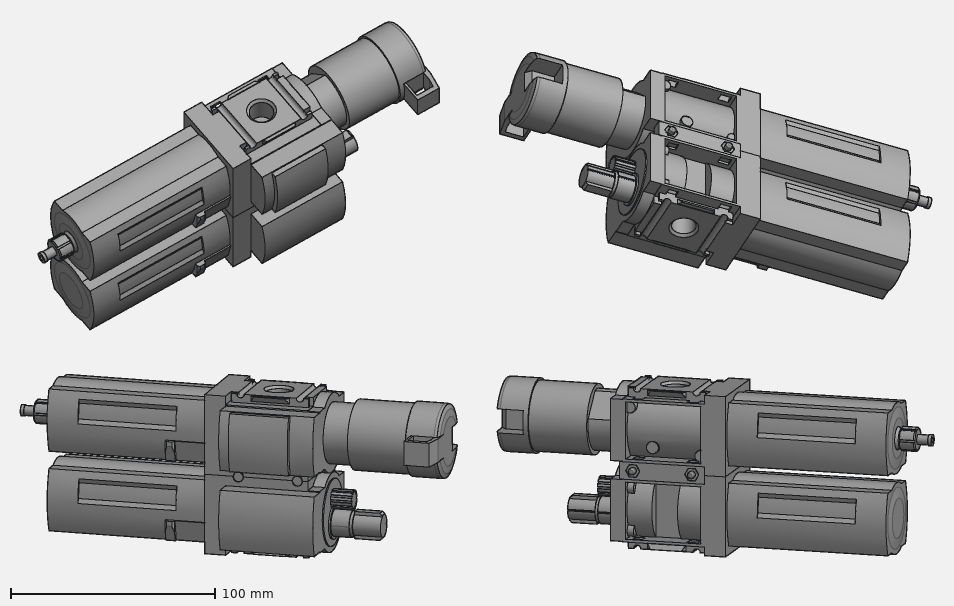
import cadquery as cq
import math


UNIT_HEIGHT = 40.2
HALF_HEIGHT = UNIT_HEIGHT / 2
HOUSING_WIDTH = 42.2
HOUSING_HALF_WIDTH = HOUSING_WIDTH / 2
HOUSING_DEPTH = 58.8
FRONT_BLOCK_DEPTH = 10.7
LEDGE_DROP = 4.4
LEDGE_HEIGHT = HALF_HEIGHT - LEDGE_DROP
FLANGE_START = 52.7
FLANGE_LEDGE_STEP = 0.2
FLANGE_RADIUS = 19.9
CORE_RADIUS = 18.8

PLATE_HALF_WIDTH = 15.0
PLATE_CENTRE_Y = 31.7
PLATE_HALF_DEPTH = 13.3
GROOVE_WIDTH = 3.7
GROOVE_REACH = PLATE_HALF_DEPTH + GROOVE_WIDTH
TAB_HALF_WIDTH = 11.5
POST_WIDTH = 1.3
POST_DEPTH = 2.6
WING_REACH = 2.0
WING_HALF_LENGTH = 9.8
WING_HEIGHT = 2.8
WING_DROP = 0.5
PORT_DIAMETER = 12.0
PORT_DEPTH = 13.1
PORT_CHAMFER = 1.3

WINDOW_START = 12.7
WINDOW_END = 51.0
WINDOW_HEIGHT = 28.6
WINDOW_HALF_HEIGHT = WINDOW_HEIGHT / 2
WINDOW_BOTTOM_X = -11.4
LATCH_HOLE_OUTER_X = -19.0
LATCH_HOLE_SPANS = ((14.5, 20.0), (42.8, 47.9))

COVER_HALF_HEIGHT = 15.0
COVER_EDGE_X = 30.5
COVER_CROWN_X = 33.2

BOWL_LENGTH = 81.3
BOWL_FLAT_HEIGHT = 15.7
BOWL_CORNER_X = 15.3
BOWL_SIDE_X = 18.5
BOWL_SIDE_RADIUS = (BOWL_FLAT_HEIGHT**2 + (BOWL_SIDE_X - BOWL_CORNER_X) ** 2) / (
    2 * (BOWL_SIDE_X - BOWL_CORNER_X)
)
BOWL_BULGE_DIAMETER = 35.6
BOWL_CONE_DIAMETER = 30.8
BOWL_TIP_DIAMETER = 19.9
BOWL_TIP_HEIGHT = 0.7
SIGHT_START = 15.5
SIGHT_LENGTH = 50.0
SIGHT_HEIGHT = 12.0
SIGHT_BEVEL = 2.2
SIGHT_DEPTH = 1.3
RELEASE_TOP = -5.0
RELEASE_BOTTOM = -15.3
RELEASE_ROOT_X = 16.5
RELEASE_FOOT_X = 15.0
RELEASE_SLIDE_TOP_X = 19.2
RELEASE_SLIDE_BOTTOM_X = 16.8
RELEASE_BUTTON_X = 21.0
RELEASE_BUTTON_BEND = -7.5
RELEASE_BUTTON_BOTTOM_X = 18.5
RELEASE_BEVEL = 1.0
RELEASE_SLIDE_LENGTH = 15.7
RELEASE_BUTTON_LENGTH = 4.8


def box(x, y, z):
    """Block spanning the given (low, high) pair along each axis."""
    size = (x[1] - x[0], y[1] - y[0], z[1] - z[0])
    return cq.Workplane("XY").box(*size, centered=False).translate((x[0], y[0], z[0]))


def y_prism(outline, start, end):
    """Closed polygon of (x, z) points extruded from y = start to y = end."""
    return cq.Workplane("XZ", origin=(0, start, 0)).polyline(outline).close().extrude(start - end)


def y_cylinder(diameter, start, end, x=0, z=0):
    return cq.Workplane("XZ", origin=(x, start, z)).circle(diameter / 2).extrude(start - end)


def x_cylinder(diameter, start, end, y=0, z=0):
    return cq.Workplane("YZ", origin=(start, y, z)).circle(diameter / 2).extrude(end - start)


def y_turned(profile):
    """Solid of revolution about the Y axis from (radius, y) points."""
    return cq.Workplane("XY").polyline(profile).close().revolve(360, (0, 0, 0), (0, 1, 0))


def port_plate():
    """Raised plate with two round grooves, end tabs, corner posts and undercut side wings."""
    plate = box(
        (-PLATE_HALF_WIDTH, PLATE_HALF_WIDTH), (FRONT_BLOCK_DEPTH, FLANGE_START), (LEDGE_HEIGHT, HALF_HEIGHT)
    )
    for end in (-1, 1):
        groove_y = PLATE_CENTRE_Y + end * (PLATE_HALF_DEPTH + GROOVE_WIDTH / 2)
        groove = x_cylinder(GROOVE_WIDTH, -PLATE_HALF_WIDTH, PLATE_HALF_WIDTH, groove_y, HALF_HEIGHT)
        plate = plate.cut(groove)
    for side in (-1, 1):
        plate = plate.cut(corner_notch(side, PLATE_CENTRE_Y - GROOVE_REACH, FRONT_BLOCK_DEPTH))
        plate = plate.cut(corner_notch(side, PLATE_CENTRE_Y + GROOVE_REACH, FLANGE_START))
        plate = plate.union(wing(side))
    return plate


def corner_notch(side, groove_edge, plate_end):
    """Notch beside an end tab, going around a small post next to the groove."""
    inner = side * TAB_HALF_WIDTH
    outer = side * PLATE_HALF_WIDTH
    post_inner = outer - side * POST_WIDTH
    post_end = groove_edge + math.copysign(POST_DEPTH, plate_end - groove_edge)
    outline = [
        (inner, groove_edge),
        (post_inner, groove_edge),
        (post_inner, post_end),
        (outer, post_end),
        (outer, plate_end),
        (inner, plate_end),
    ]
    return cq.Workplane("XY", origin=(0, 0, LEDGE_HEIGHT)).polyline(outline).close().extrude(LEDGE_DROP)


def wing(side):
    """Undercut wedge on one side of the plate, with its ends cut at 45 degrees."""
    root = side * PLATE_HALF_WIDTH
    tip = side * (PLATE_HALF_WIDTH + WING_REACH)
    start = PLATE_CENTRE_Y - WING_HALF_LENGTH
    end = PLATE_CENTRE_Y + WING_HALF_LENGTH
    top = HALF_HEIGHT - WING_DROP
    wedge_outline = [(root, top), (tip, top), (root, top - WING_HEIGHT)]
    wedge = y_prism(wedge_outline, start, end)
    top_outline = [(root, start), (tip, start + WING_REACH), (tip, end - WING_REACH), (root, end)]
    ends = cq.Workplane("XY").polyline(top_outline).close().extrude(HALF_HEIGHT)
    return wedge.intersect(ends)


def port():
    """Chamfered blind port opening on the outer side."""
    hole = cq.Workplane("XY", origin=(0, PLATE_CENTRE_Y, HALF_HEIGHT - PORT_DEPTH))
    hole = hole.circle(PORT_DIAMETER / 2).extrude(PORT_DEPTH)
    flare = cq.Workplane("XY", origin=(0, PLATE_CENTRE_Y, HALF_HEIGHT))
    flare = flare.circle(PORT_DIAMETER / 2 + PORT_CHAMFER).extrude(-PORT_CHAMFER, taper=45)
    return hole.union(flare)


def side_window():
    """Pocket on the -X side that leaves the cylindrical core standing."""
    span = (WINDOW_START, WINDOW_END)
    height = (-WINDOW_HALF_HEIGHT, WINDOW_HALF_HEIGHT)
    pocket = box((-HOUSING_HALF_WIDTH, WINDOW_BOTTOM_X), span, height)
    return pocket.cut(y_cylinder(2 * CORE_RADIUS, *span))


def crowned_cover(back_x, edge_x, crown_x, half_height, start, end):
    """Cover on the +X side whose outer face is an arc."""
    outline = cq.Workplane("XZ", origin=(0, start, 0)).moveTo(back_x, -half_height)
    outline = outline.lineTo(edge_x, -half_height)
    outline = outline.threePointArc((crown_x, 0), (edge_x, half_height))
    return outline.lineTo(back_x, half_height).close().extrude(start - end)


def housing():
    """Housing with its outer side at +Z and its joining side at -Z."""
    width = (-HOUSING_HALF_WIDTH, HOUSING_HALF_WIDTH)
    body = box(width, (0, FRONT_BLOCK_DEPTH), (-HALF_HEIGHT, HALF_HEIGHT))
    body = body.union(box(width, (FRONT_BLOCK_DEPTH, FLANGE_START), (-LEDGE_HEIGHT, LEDGE_HEIGHT)))
    flange_height = LEDGE_HEIGHT - FLANGE_LEDGE_STEP
    body = body.union(box(width, (FLANGE_START, HOUSING_DEPTH), (-flange_height, flange_height)))
    body = body.union(y_cylinder(2 * FLANGE_RADIUS, FLANGE_START, HOUSING_DEPTH))
    joining_width = (-PLATE_HALF_WIDTH, HOUSING_HALF_WIDTH)
    joining_height = (-HALF_HEIGHT, -LEDGE_HEIGHT)
    body = body.union(box(joining_width, (FRONT_BLOCK_DEPTH, FLANGE_START), joining_height))
    body = body.union(port_plate())
    body = body.cut(port())
    body = body.cut(side_window())

    for span in LATCH_HOLE_SPANS:
        for wall in ((WINDOW_HALF_HEIGHT, LEDGE_HEIGHT), (-LEDGE_HEIGHT, -WINDOW_HALF_HEIGHT)):
            body = body.cut(box((LATCH_HOLE_OUTER_X, -PLATE_HALF_WIDTH), span, wall))

    cover = crowned_cover(
        HOUSING_HALF_WIDTH, COVER_EDGE_X, COVER_CROWN_X, COVER_HALF_HEIGHT, FRONT_BLOCK_DEPTH, HOUSING_DEPTH
    )
    return body.union(cover)


def bowl_body():
    """Flat-sided bowl with crowned sides and a round bulge above and below."""
    outline = cq.Workplane("XZ").moveTo(-BOWL_CORNER_X, -BOWL_FLAT_HEIGHT)
    outline = outline.threePointArc((-BOWL_SIDE_X, 0), (-BOWL_CORNER_X, BOWL_FLAT_HEIGHT))
    outline = outline.lineTo(BOWL_CORNER_X, BOWL_FLAT_HEIGHT)
    outline = outline.threePointArc((BOWL_SIDE_X, 0), (BOWL_CORNER_X, -BOWL_FLAT_HEIGHT))
    body = outline.close().extrude(BOWL_LENGTH)
    body = body.union(y_cylinder(BOWL_BULGE_DIAMETER, -BOWL_LENGTH, 0))
    cone = y_turned([
        (0, -BOWL_LENGTH),
        (BOWL_CONE_DIAMETER / 2, -BOWL_LENGTH),
        (BOWL_TIP_DIAMETER / 2, -BOWL_LENGTH - BOWL_TIP_HEIGHT),
        (0, -BOWL_LENGTH - BOWL_TIP_HEIGHT),
    ])
    return body.union(cone)


def bowl_side_x(z, depth=0):
    """X of the crowned bowl side at height z, or of a surface the given depth below it."""
    centre_x = BOWL_SIDE_X - BOWL_SIDE_RADIUS
    return centre_x + math.sqrt((BOWL_SIDE_RADIUS - depth) ** 2 - z**2)


def sight_window(side):
    """Shallow recess on one bowl side: curved floor, sloped upper and lower walls."""
    floor_low = SIGHT_BEVEL
    floor_middle = SIGHT_HEIGHT / 2
    floor_high = SIGHT_HEIGHT - SIGHT_BEVEL
    outline = cq.Workplane("XZ", origin=(0, -SIGHT_START, 0)).moveTo(side * BOWL_SIDE_X, 0)
    outline = outline.lineTo(side * bowl_side_x(floor_low, SIGHT_DEPTH), floor_low)
    outline = outline.threePointArc(
        (side * bowl_side_x(floor_middle, SIGHT_DEPTH), floor_middle),
        (side * bowl_side_x(floor_high, SIGHT_DEPTH), floor_high),
    )
    outline = outline.lineTo(side * bowl_side_x(SIGHT_HEIGHT), SIGHT_HEIGHT)
    return outline.lineTo(side * BOWL_SIDE_X, SIGHT_HEIGHT).close().extrude(SIGHT_LENGTH)


def release_latch():
    """Slide on the lower +X side of the bowl, ending in a raised button with bevelled ends."""
    slide = y_prism(
        [
            (RELEASE_ROOT_X, RELEASE_TOP),
            (RELEASE_SLIDE_TOP_X, RELEASE_TOP),
            (RELEASE_SLIDE_BOTTOM_X, RELEASE_BOTTOM),
            (RELEASE_FOOT_X, RELEASE_BOTTOM),
        ],
        -RELEASE_SLIDE_LENGTH,
        0,
    )
    button_start = -RELEASE_SLIDE_LENGTH - RELEASE_BUTTON_LENGTH
    button = y_prism(
        [
            (RELEASE_ROOT_X, RELEASE_TOP),
            (RELEASE_BUTTON_X, RELEASE_TOP),
            (RELEASE_BUTTON_X, RELEASE_BUTTON_BEND),
            (RELEASE_BUTTON_BOTTOM_X, RELEASE_BOTTOM),
            (RELEASE_FOOT_X, RELEASE_BOTTOM),
        ],
        button_start,
        -RELEASE_SLIDE_LENGTH,
    )
    bevelled_ends = cq.Workplane("XY", origin=(0, 0, RELEASE_BOTTOM)).polyline([
        (RELEASE_FOOT_X, button_start),
        (RELEASE_BUTTON_X - RELEASE_BEVEL, button_start),
        (RELEASE_BUTTON_X, button_start + RELEASE_BEVEL),
        (RELEASE_BUTTON_X, -RELEASE_SLIDE_LENGTH - RELEASE_BEVEL),
        (RELEASE_BUTTON_X - RELEASE_BEVEL, -RELEASE_SLIDE_LENGTH),
        (RELEASE_FOOT_X, -RELEASE_SLIDE_LENGTH),
    ]).close().extrude(RELEASE_TOP - RELEASE_BOTTOM)
    return slide.union(button.intersect(bevelled_ends))


def bowl():
    body = bowl_body()
    for side in (-1, 1):
        body = body.cut(sight_window(side))
    return body.union(release_latch())


DRAIN_COLLAR_DIAMETER = 11.5
DRAIN_COLLAR_END = -83.5
DRAIN_NECK_DIAMETER = 9.6
DRAIN_NUT_DIAMETER = 12.0
DRAIN_NUT_START = -84.3
DRAIN_NUT_END = -92.2
DRAIN_NUT_CHAMFER = 0.7
DRAIN_SLOT_COUNT = 6
DRAIN_SLOT_WIDTH = 1.0
DRAIN_SLOT_DEPTH = 0.7
DRAIN_STEM_DIAMETER = 5.0
DRAIN_RIM_DIAMETER = 5.7
DRAIN_RIM_START = -97.9
DRAIN_END = -99.6
DRAIN_HOLE_DIAMETER = 2.6
DRAIN_HOLE_DEPTH = 7.5


def drain_valve():
    """Conical collar, slotted nut and drilled stem below the bowl."""
    nut = y_cylinder(DRAIN_NUT_DIAMETER, DRAIN_NUT_END, DRAIN_NUT_START)
    nut = nut.faces("<Y").chamfer(DRAIN_NUT_CHAMFER)
    slot_floor = DRAIN_NUT_DIAMETER / 2 - DRAIN_SLOT_DEPTH
    slot = box(
        (slot_floor, DRAIN_NUT_DIAMETER),
        (DRAIN_NUT_END, DRAIN_NUT_START),
        (-DRAIN_SLOT_WIDTH / 2, DRAIN_SLOT_WIDTH / 2),
    )
    for index in range(DRAIN_SLOT_COUNT):
        nut = nut.cut(slot.rotate((0, 0, 0), (0, 1, 0), index * 360 / DRAIN_SLOT_COUNT))

    valve = y_turned([
        (0, -BOWL_LENGTH),
        (DRAIN_COLLAR_DIAMETER / 2, -BOWL_LENGTH),
        (DRAIN_COLLAR_DIAMETER / 2, -BOWL_LENGTH - BOWL_TIP_HEIGHT),
        (DRAIN_NECK_DIAMETER / 2, DRAIN_COLLAR_END),
        (0, DRAIN_COLLAR_END),
    ])
    valve = valve.union(y_cylinder(DRAIN_NECK_DIAMETER, DRAIN_NUT_START, DRAIN_COLLAR_END))
    valve = valve.union(nut)
    valve = valve.union(y_cylinder(DRAIN_STEM_DIAMETER, DRAIN_END, DRAIN_NUT_END))
    valve = valve.union(y_cylinder(DRAIN_RIM_DIAMETER, DRAIN_END, DRAIN_RIM_START))
    return valve.cut(y_cylinder(DRAIN_HOLE_DIAMETER, DRAIN_END, DRAIN_END + DRAIN_HOLE_DEPTH))


NECK_DIAMETER = 30.5
NECK_FLAT_DISTANCE = 13.0
NECK_FLAT_ANGLE = 45
BARREL_START = 71.9
BARREL_DIAMETER = 35.2
CAP_START = 101.5
CAP_DIAMETER = 37.1
CAP_SHOULDER = 116.0
CAP_EDGE_Y = 117.5
CAP_EDGE_RADIUS = 18.4
CAP_DOME_Y = 118.5
CAP_DOME_RADIUS = 16.0
CAP_TOP_RADIUS = 12.2
KNOB_END = 118.9
LOCK_HEIGHT = 12.0
LOCK_BOTTOM = 104.2
LOCK_INNER_X = -7.6
LOCK_OUTER_X = 29.7
LOCK_SHOULDER_X = 19.7
LOCK_CORNER_Y = 117.1
LOCK_WALL = 2.6
LOCK_FLOOR = 1.3
LOCK_ROOF_Y = 116.0
LOCK_ROOF_DROP = 0.9
LOCK_ROOF_BEND_X = 23.0


def knob():
    """Neck with one flat, barrel and domed cap on the regulator axis."""
    neck = y_cylinder(NECK_DIAMETER, HOUSING_DEPTH, BARREL_START)
    flat = box(
        (-NECK_DIAMETER, -NECK_FLAT_DISTANCE), (HOUSING_DEPTH, BARREL_START), (-NECK_DIAMETER, NECK_DIAMETER)
    )
    neck = neck.cut(flat.rotate((0, 0, 0), (0, 1, 0), NECK_FLAT_ANGLE))
    barrel = y_cylinder(BARREL_DIAMETER, BARREL_START, CAP_START)
    cap = y_turned([
        (0, CAP_START),
        (CAP_DIAMETER / 2, CAP_START),
        (CAP_DIAMETER / 2, CAP_SHOULDER),
        (CAP_EDGE_RADIUS, CAP_EDGE_Y),
        (CAP_DOME_RADIUS, CAP_DOME_Y),
        (CAP_TOP_RADIUS, KNOB_END),
        (0, KNOB_END),
    ])
    return neck.union(barrel).union(cap)


def lock_slot():
    """Slot across the cap, filled by the lock slide except on the -X side."""
    span = (LOCK_BOTTOM, KNOB_END)
    return box((-CAP_DIAMETER, CAP_DIAMETER), span, (-LOCK_HEIGHT / 2, LOCK_HEIGHT / 2))


def lock_slide():
    """Slide pulled out towards +X, with an opening for a padlock."""
    half_height = LOCK_HEIGHT / 2
    slope = KNOB_END - CAP_SHOULDER
    body = cq.Workplane("XY", origin=(0, 0, -half_height)).polyline([
        (LOCK_INNER_X, LOCK_BOTTOM),
        (LOCK_OUTER_X, LOCK_BOTTOM),
        (LOCK_OUTER_X, LOCK_CORNER_Y),
        (LOCK_SHOULDER_X, KNOB_END),
        (LOCK_INNER_X + slope, KNOB_END),
        (LOCK_INNER_X, CAP_SHOULDER),
    ]).close().extrude(LOCK_HEIGHT)
    opening = cq.Workplane("XY", origin=(0, 0, -half_height)).polyline([
        (BARREL_DIAMETER / 2, LOCK_BOTTOM + LOCK_FLOOR),
        (LOCK_OUTER_X - LOCK_WALL, LOCK_BOTTOM + LOCK_FLOOR),
        (LOCK_OUTER_X - LOCK_WALL, LOCK_ROOF_Y - LOCK_ROOF_DROP),
        (LOCK_ROOF_BEND_X, LOCK_ROOF_Y),
        (BARREL_DIAMETER / 2, LOCK_ROOF_Y),
    ]).close().extrude(LOCK_HEIGHT)
    return body.cut(opening)


GAUGE_EDGE_X = 33.6
GAUGE_CROWN_X = 35.8
GAUGE_HALF_HEIGHT = 14.6
GAUGE_START = 16.4
GAUGE_END = 46.5
STUD_END_X = -18.5
STUD_ROOT_X = -11.0
CORE_STUDS = ((49.5, 11.1, 5.7), (13.5, -11.1, 5.7), (38.0, -8.3, 6.1))


def upper_unit():
    """Filter regulator with knob, gauge and drain valve."""
    body = housing()
    for y, z, diameter in CORE_STUDS:
        body = body.union(x_cylinder(diameter, STUD_END_X, STUD_ROOT_X, y, z))
    gauge = crowned_cover(
        HOUSING_HALF_WIDTH, GAUGE_EDGE_X, GAUGE_CROWN_X, GAUGE_HALF_HEIGHT, GAUGE_START, GAUGE_END
    )
    body = body.union(gauge)
    body = body.union(bowl()).union(drain_valve())
    body = body.union(knob().cut(lock_slot()).union(lock_slide()))
    return body.translate((0, 0, HALF_HEIGHT))


CORE_SLOT_START = 25.1
CORE_SLOT_END = 38.2
NUB_DIAMETER = 6.1
NUB_LENGTH = 3.3
NUB_X = -15.5
NUB_OFFSET = 10.7
BASE_DIAMETER = 33.6
BASE_END = 59.5
SOCKET_Z = -5.0
SOCKET_BASE_DIAMETER = 16.5
SOCKET_BASE_END = 60.3
SOCKET_DIAMETER = 13.8
SOCKET_END = 85.2
SOCKET_CORE_DIAMETER = 11.4
SOCKET_GRIP_START = 71.0
SOCKET_GAP_LENGTH = 1.5
SOCKET_GAP_DIAMETER = 13.0
SOCKET_RIB_WIDTH = 4.8
SOCKET_RIB_CHAMFER = 1.3
SOCKET_KEYWAY_WIDTH = 0.7
SOCKET_KEYWAY_DEPTH = 0.7
WHEEL_Z = 7.0
WHEEL_DIAMETER = 10.0
WHEEL_END = 70.1
WHEEL_FLUTES = 12
WHEEL_FLUTE_WIDTH = 1.0
WHEEL_FLUTE_DEPTH = 0.9


def socket():
    """Connector: round root, ribbed grip above a gap, and a keyway along the -X side."""
    radius = SOCKET_DIAMETER / 2
    core_radius = SOCKET_CORE_DIAMETER / 2
    root_end = SOCKET_GRIP_START - SOCKET_GAP_LENGTH
    root = y_cylinder(SOCKET_DIAMETER, SOCKET_BASE_END, root_end)
    root = root.cut(keyway(radius, SOCKET_BASE_END, root_end))
    gap = y_cylinder(SOCKET_GAP_DIAMETER, root_end, SOCKET_GRIP_START)
    grip = y_cylinder(SOCKET_CORE_DIAMETER, SOCKET_GRIP_START, SOCKET_END)
    grip = grip.cut(keyway(core_radius, SOCKET_GRIP_START, SOCKET_END))
    ribs = box(
        (-SOCKET_RIB_WIDTH / 2, SOCKET_RIB_WIDTH / 2), (SOCKET_GRIP_START, SOCKET_END), (-radius, radius)
    )
    ribs = ribs.faces(">Y").edges("|X").chamfer(SOCKET_RIB_CHAMFER)
    base = y_cylinder(SOCKET_BASE_DIAMETER, BASE_END, SOCKET_BASE_END)
    return base.union(root).union(gap).union(grip).union(ribs).translate((0, 0, SOCKET_Z))


def keyway(radius, start, end):
    """Narrow groove cut into the -X side of a cylinder of the given radius."""
    return box(
        (-radius, SOCKET_KEYWAY_DEPTH - radius),
        (start, end),
        (-SOCKET_KEYWAY_WIDTH / 2, SOCKET_KEYWAY_WIDTH / 2),
    )


def fluted_wheel():
    """Small adjusting wheel with flutes along its axis."""
    radius = WHEEL_DIAMETER / 2
    wheel = y_cylinder(WHEEL_DIAMETER, BASE_END, WHEEL_END)
    flute = box(
        (radius - WHEEL_FLUTE_DEPTH, WHEEL_DIAMETER),
        (BASE_END, WHEEL_END),
        (-WHEEL_FLUTE_WIDTH / 2, WHEEL_FLUTE_WIDTH / 2),
    )
    for index in range(WHEEL_FLUTES):
        wheel = wheel.cut(flute.rotate((0, 0, 0), (0, 1, 0), index * 360 / WHEEL_FLUTES))
    return wheel.translate((0, 0, WHEEL_Z))


def lower_unit():
    """Filter with a connector and an adjusting wheel; its housing is the upper one mirrored."""
    body = housing().mirror("XY")
    window_height = (-WINDOW_HALF_HEIGHT, WINDOW_HALF_HEIGHT)
    body = body.cut(box((-CORE_RADIUS, WINDOW_BOTTOM_X), (CORE_SLOT_START, CORE_SLOT_END), window_height))
    for side in (-1, 1):
        nub = y_cylinder(NUB_DIAMETER, WINDOW_END - NUB_LENGTH, WINDOW_END, NUB_X, side * NUB_OFFSET)
        body = body.union(nub)
    body = body.union(bowl())
    body = body.union(y_cylinder(BASE_DIAMETER, HOUSING_DEPTH, BASE_END))
    body = body.union(socket()).union(fluted_wheel())
    return body.translate((0, 0, -HALF_HEIGHT))


CLAMP_END = 54.2
SCREW_POSITIONS = (17.3, 47.5)
SCREW_DIAMETER = 3.5
SCREW_TIP_X = -23.4
SCREW_TIP_FILLET = 0.9
SCREW_HEAD_DIAMETER = 5.0
SCREW_HEAD_START_X = 18.0
SCREW_HEAD_PROTRUSION = 0.7
SCREW_HEAD_END_X = HOUSING_HALF_WIDTH + SCREW_HEAD_PROTRUSION
HEX_ACROSS_FLATS = 6.1
HEX_DEPTH = 0.7


def clamp_bar():
    """Bar across the joint on the -X side, with a hexagonal recess around each screw."""
    bar = box(
        (-HOUSING_HALF_WIDTH, -PLATE_HALF_WIDTH), (FRONT_BLOCK_DEPTH, CLAMP_END), (-LEDGE_DROP, LEDGE_DROP)
    )
    across_corners = HEX_ACROSS_FLATS / math.cos(math.pi / 6)
    for y in SCREW_POSITIONS:
        recess = cq.Workplane("YZ", origin=(-HOUSING_HALF_WIDTH, y, 0))
        bar = bar.cut(recess.polygon(6, across_corners).extrude(HEX_DEPTH))
    return bar


def screw(y):
    """Screw through the joint with its head at +X and its rounded tip at -X."""
    shank = x_cylinder(SCREW_DIAMETER, SCREW_TIP_X, SCREW_HEAD_START_X, y)
    shank = shank.faces("<X").edges().fillet(SCREW_TIP_FILLET)
    return shank.union(x_cylinder(SCREW_HEAD_DIAMETER, SCREW_HEAD_START_X, SCREW_HEAD_END_X, y))


screws = [screw(y) for y in SCREW_POSITIONS]
upper = upper_unit()
lower = lower_unit()
clamp = clamp_bar()
for joint_screw in screws:
    upper = upper.cut(joint_screw)
    lower = lower.cut(joint_screw)
    clamp = clamp.cut(joint_screw)

result = cq.Compound.makeCompound(
    [body.solids().val() for body in (upper, lower, clamp, *screws)]
)